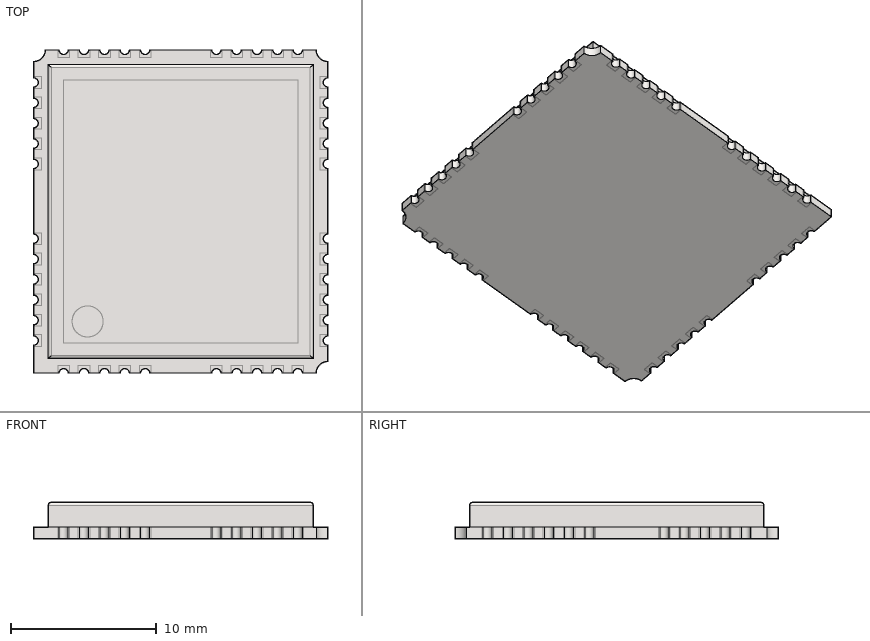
import cadquery as cq

BOARD_X = 20.2
BOARD_Y = 22.2
BOARD_THICKNESS = 0.8
CORNER_NOTCH_RADIUS = 0.8

TOTAL_HEIGHT = 2.5
LID_MARGIN = 1.0
LID_TOP_RADIUS = 0.22

LABEL_X = 16.07
LABEL_Y = 18.03
PIN_DOT_RADIUS = 1.07
PIN_DOT_CENTRE = (-6.4, -7.55)
MARK_DEPTH = 0.1

PAD_PITCH = 1.4
PAD_WIDTH = 0.8
PAD_DEPTH = 0.53
PAD_NOTCH_RADIUS = 0.3
OUTER_PAD_X = 8.04
OUTER_PAD_Y = 8.85
PADS_PER_GROUP = 5
PADS_LONG_SIDE_GROUP = 6

HALF_X = BOARD_X / 2
HALF_Y = BOARD_Y / 2


def group_positions(outermost, count):
    """Distances from the board centre line, walking inwards from the outermost pad."""
    return [outermost - i * PAD_PITCH for i in range(count)]


def block(size_x, size_y, bottom, top):
    """Box centred on the Z axis between two heights."""
    return cq.Workplane("XY").workplane(offset=bottom).rect(size_x, size_y).extrude(top - bottom)


def round_posts(centres, radius):
    """Upright cylinders through the board thickness."""
    return cq.Workplane("XY").pushPoints(centres).circle(radius).extrude(BOARD_THICKNESS)


def pad_blocks(centres, size_x, size_y):
    """Blocks through the board thickness, centred on the board edge."""
    return cq.Workplane("XY").pushPoints(centres).rect(size_x, size_y).extrude(BOARD_THICKNESS)


def inlay(body, insert):
    """Set the insert flush into the body, keeping its outline as face boundaries."""
    flush_insert = body.intersect(insert, clean=False)
    return body.cut(insert, clean=False).union(flush_insert, clean=False)


end_row = group_positions(OUTER_PAD_X, PADS_PER_GROUP)
end_row += [-x for x in end_row]
side_row = group_positions(OUTER_PAD_Y, PADS_PER_GROUP)
side_row += [-y for y in group_positions(OUTER_PAD_Y, PADS_LONG_SIDE_GROUP)]
end_pads = [(x, edge) for edge in (-HALF_Y, HALF_Y) for x in end_row]
side_pads = [(edge, y) for edge in (-HALF_X, HALF_X) for y in side_row]

scooped_corners = [(-HALF_X, HALF_Y), (HALF_X, HALF_Y), (HALF_X, -HALF_Y)]
board = block(BOARD_X, BOARD_Y, 0, BOARD_THICKNESS)
board = board.cut(round_posts(scooped_corners, CORNER_NOTCH_RADIUS))
board = board.cut(round_posts(end_pads + side_pads, PAD_NOTCH_RADIUS))
board = inlay(board, pad_blocks(end_pads, PAD_WIDTH, 2 * PAD_DEPTH))
board = inlay(board, pad_blocks(side_pads, 2 * PAD_DEPTH, PAD_WIDTH))

lid = block(BOARD_X - 2 * LID_MARGIN, BOARD_Y - 2 * LID_MARGIN, BOARD_THICKNESS, TOTAL_HEIGHT)
lid = lid.faces(">Z").edges().fillet(LID_TOP_RADIUS)

mark_floor = TOTAL_HEIGHT - MARK_DEPTH
label = block(LABEL_X, LABEL_Y, mark_floor, TOTAL_HEIGHT)
pin_dot = (
    cq.Workplane("XY").workplane(offset=mark_floor)
    .center(*PIN_DOT_CENTRE).circle(PIN_DOT_RADIUS).extrude(MARK_DEPTH)
)
lid = inlay(lid, label)
lid = inlay(lid, pin_dot)

result = board.union(lid, clean=False).solids()